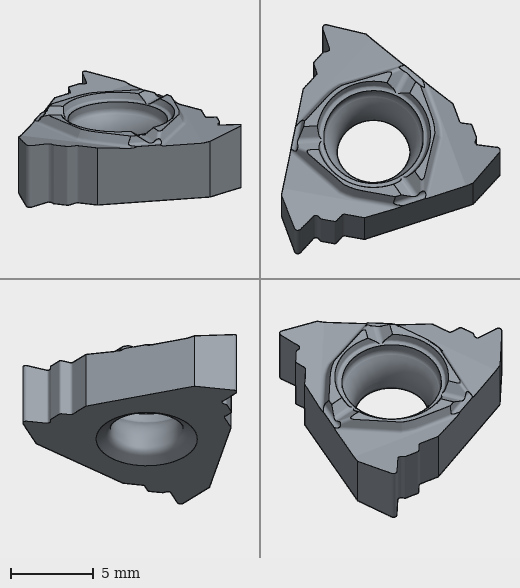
import cadquery as cq
import math


CORNERS = 3
CORNER_STEP = 360 / CORNERS
REACH = 9.38

SIDE_DIST = 4.762
FLOOR_Z = 3.51
TOP_Z = 4.1

FLANK_ANGLE = 60
TIP_X = -3.36
TIP_Y = -6.91
TIP_RADIUS = 0.21
ROOT_Y = -5.68
ROOT_END_X = -2.33
ROOT_RADIUS = 0.12
CREST_START_X = -2.12
CREST_END_X = -1.2
CREST_Y = -5.85
CREST_RADIUS = 0.15
SHOULDER_Y = -5.24
SHOULDER_RADIUS = 0.19

RAKE_DIRECTION = 270
RAKE_ANGLE = 10
RAKE_START = 4.26
RAKE_BLEND = 0.27

WALL_ANGLE = 30
BOSS_FOOT = 4.05
BACK_FOOT = 3.94
FRONT_DIRECTION = 270
ROUND_WALL_SPAN = 40
BACK_DIRECTION = 238.2
FOOT_FILLET = 0.28

SIDE_DIRECTION = 180
LEDGE_Z = 3.59
LEDGE_DIST = 4.45
LEDGE_FILLET = 0.21
LEDGE_WALL_ANGLE = 22

GROOVE_DIRECTION = 194.4
GROOVE_Z = 3.65
GROOVE_HALF_WIDTH = 0.13
GROOVE_WALL_ANGLE = 36
GROOVE_FILLET = 0.31
BACK_MOUTH_ROUND = 0.21

HOLE_RADIUS = 2.2
HOLE_TOP_Z = 1.3
HOLE_BOTTOM_Z = 0.8
FLARE_RADIUS = 0.54
FLARE_ANGLE = 60
SEAT_RADIUS = 2.29
SEAT_ANGLE = 44
BORE_RADIUS = 3.0
BORE_FILLET = 0.44
STEP_FLAT_RADIUS = 3.14
STEP_FILLET_RADIUS = 3.3
STEP_FILLET_Z = 3.75
RIM_RADIUS = 3.437


def cos_deg(angle):
    return math.cos(math.radians(angle))


def sin_deg(angle):
    return math.sin(math.radians(angle))


def tan_deg(angle):
    return math.tan(math.radians(angle))


def turn(point, angle):
    """Turn a point in the XY plane about the hole axis."""
    x, y = point
    return (x * cos_deg(angle) - y * sin_deg(angle), x * sin_deg(angle) + y * cos_deg(angle))


def about_axis(shape, angle):
    """Turn a shape about the hole axis."""
    return shape.rotate((0, 0, 0), (0, 0, 1), angle)


def section_plane():
    """Plane whose first axis is the distance from the hole axis and whose second axis is Z."""
    return cq.Workplane("XZ")


def space_outside_wall(foot, lean, floor_z, fillet):
    """Section of the space outside a leaning wall, down to a floor joined by a fillet."""
    fillet_length = fillet * tan_deg((90 - lean) / 2)
    fillet_top = (
        foot - fillet_length * sin_deg(lean),
        floor_z + fillet_length * cos_deg(lean),
    )
    wall_top = foot - (TOP_Z - floor_z) * tan_deg(lean)
    return (
        section_plane()
        .moveTo(wall_top, TOP_Z)
        .lineTo(*fillet_top)
        .radiusArc((foot + fillet_length, floor_z), -fillet)
        .lineTo(REACH, floor_z)
        .lineTo(REACH, TOP_Z)
        .close()
    )


flank_apex_y = TIP_Y - TIP_RADIUS / cos_deg(FLANK_ANGLE) + TIP_RADIUS
slope = tan_deg(FLANK_ANGLE)
TOOTH = [
    ((-SIDE_DIST, flank_apex_y + (SIDE_DIST + TIP_X) * slope), 0),
    ((TIP_X, flank_apex_y), TIP_RADIUS),
    ((TIP_X + (ROOT_Y - flank_apex_y) / slope, ROOT_Y), ROOT_RADIUS),
    ((ROOT_END_X, ROOT_Y), ROOT_RADIUS),
    ((CREST_START_X, CREST_Y), ROOT_RADIUS),
    ((CREST_END_X, CREST_Y), CREST_RADIUS),
    ((CREST_END_X + (SHOULDER_Y - CREST_Y) / slope, SHOULDER_Y), SHOULDER_RADIUS),
    ((2 * SIDE_DIST + 2 * cos_deg(30) * SHOULDER_Y, SHOULDER_Y), 0),
]


def build_blank():
    """Upright prism with the full outline of the insert."""
    points = []
    for i in range(CORNERS):
        points += [turn(point, i * CORNER_STEP) for point, radius in TOOTH]
    blank = cq.Workplane("XY").polyline(points).close().extrude(TOP_Z)
    for point, radius in TOOTH:
        if radius == 0:
            continue
        for i in range(CORNERS):
            x, y = turn(point, i * CORNER_STEP)
            corner_edge = cq.selectors.NearestToPointSelector((x, y, TOP_Z / 2))
            blank = blank.edges("|Z").edges(corner_edge).fillet(radius)
    return blank


def build_rake():
    """Solid under one rake face, blended into the floor."""
    half_blend = RAKE_BLEND * tan_deg(RAKE_ANGLE / 2)
    blend_start = RAKE_START - half_blend
    blend_end = (
        RAKE_START + half_blend * cos_deg(RAKE_ANGLE),
        FLOOR_Z + half_blend * sin_deg(RAKE_ANGLE),
    )
    section = (
        section_plane()
        .moveTo(blend_start, 0)
        .lineTo(blend_start, FLOOR_Z)
        .radiusArc(blend_end, -RAKE_BLEND)
        .lineTo(REACH, FLOOR_Z + (REACH - RAKE_START) * tan_deg(RAKE_ANGLE))
        .lineTo(REACH, 0)
        .close()
    )
    return about_axis(section.extrude(REACH, both=True), RAKE_DIRECTION)


def build_boss_cuts():
    """Spaces outside the front, round, back and trimmed walls of one third of the boss."""
    front = space_outside_wall(BOSS_FOOT, WALL_ANGLE, FLOOR_Z, FOOT_FILLET).extrude(-REACH)
    round_section = space_outside_wall(BOSS_FOOT, WALL_ANGLE, FLOOR_Z, FOOT_FILLET)
    round_wall = round_section.revolve(ROUND_WALL_SPAN, (0, 0, 0), (0, -1, 0))
    back_section = space_outside_wall(BACK_FOOT, WALL_ANGLE, FLOOR_Z, FOOT_FILLET)
    back = back_section.extrude(REACH, both=True)
    ledge_section = space_outside_wall(LEDGE_DIST, LEDGE_WALL_ANGLE, LEDGE_Z, LEDGE_FILLET)
    ledge = ledge_section.extrude(REACH, both=True)
    return [
        about_axis(front, FRONT_DIRECTION),
        about_axis(round_wall, FRONT_DIRECTION),
        about_axis(back, BACK_DIRECTION),
        about_axis(ledge, SIDE_DIRECTION),
    ]


def groove_half_width(z):
    """Half of a groove's width at a height, its bottom fillets aside."""
    return GROOVE_HALF_WIDTH + (z - GROOVE_Z) / tan_deg(GROOVE_WALL_ANGLE)


def build_groove():
    """One V groove with a rounded bottom, running outwards from the hole."""
    top_half = groove_half_width(TOP_Z)
    groove = (
        cq.Workplane("YZ")
        .moveTo(-top_half, TOP_Z)
        .lineTo(-GROOVE_HALF_WIDTH, GROOVE_Z)
        .lineTo(GROOVE_HALF_WIDTH, GROOVE_Z)
        .lineTo(top_half, TOP_Z)
        .close()
        .extrude(REACH)
        .edges("|X and (<Z)")
        .fillet(GROOVE_FILLET)
    )
    return about_axis(groove, GROOVE_DIRECTION)


def build_hole():
    """Stepped screw hole with a rounded seat and a flared bottom."""
    seat_top = (
        HOLE_RADIUS + SEAT_RADIUS * (1 - cos_deg(SEAT_ANGLE)),
        HOLE_TOP_Z + SEAT_RADIUS * sin_deg(SEAT_ANGLE),
    )
    bore_bottom = (BORE_RADIUS, seat_top[1] + BORE_FILLET * sin_deg(SEAT_ANGLE))
    flare_end = (
        HOLE_RADIUS + FLARE_RADIUS * (1 - cos_deg(FLARE_ANGLE)),
        HOLE_BOTTOM_Z - FLARE_RADIUS * sin_deg(FLARE_ANGLE),
    )
    profile = (
        section_plane()
        .moveTo(0, 0)
        .lineTo(flare_end[0] + flare_end[1] * tan_deg(FLARE_ANGLE), 0)
        .lineTo(*flare_end)
        .radiusArc((HOLE_RADIUS, HOLE_BOTTOM_Z), FLARE_RADIUS)
        .lineTo(HOLE_RADIUS, HOLE_TOP_Z)
        .radiusArc(seat_top, SEAT_RADIUS)
        .radiusArc(bore_bottom, -BORE_FILLET)
        .lineTo(BORE_RADIUS, GROOVE_Z)
        .lineTo(STEP_FLAT_RADIUS, GROOVE_Z)
        .tangentArcPoint((STEP_FILLET_RADIUS, STEP_FILLET_Z), relative=False)
        .lineTo(RIM_RADIUS, TOP_Z)
        .lineTo(0, TOP_Z)
        .close()
    )
    return profile.revolve(360, (0, 0, 0), (0, 1, 0))


def round_back_mouths(part):
    """Round the edges where the groove walls meet the back walls of the boss."""
    edges = []
    for angle in corner_angles:
        x, y = turn((LEDGE_DIST, groove_half_width(TOP_Z)), GROOVE_DIRECTION + angle)
        nearest = cq.selectors.NearestToPointSelector((x, y, TOP_Z))
        edges.append(part.edges(nearest).val())
    return part.newObject(edges).fillet(BACK_MOUTH_ROUND)


corner_angles = [i * CORNER_STEP for i in range(CORNERS)]
body = cq.Workplane("XY").circle(REACH).extrude(TOP_Z)
for angle in corner_angles:
    for cut in build_boss_cuts() + [build_groove()]:
        body = body.cut(about_axis(cut, angle))
for angle in corner_angles:
    body = body.union(about_axis(build_rake(), angle))
insert = build_blank().intersect(body).cut(build_hole())
result = round_back_mouths(insert)